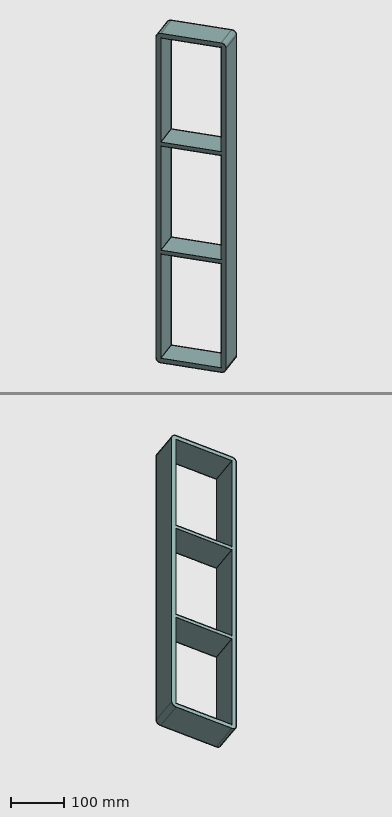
import cadquery as cq

width = 140.0
depth = 60.0
height = 694

wall = 10.0
shelf_thickness = 8.0
corner_radius = 10.0
bay_count = 3

bay_width = width - 2 * wall
bay_height = (height - 2 * wall - (bay_count - 1) * shelf_thickness) / bay_count
bay_pitch = bay_height + shelf_thickness

frame = cq.Workplane("XY").box(width, depth, height).edges("|Y").fillet(corner_radius)

bay_centers = [(0, (i - (bay_count - 1) / 2) * bay_pitch) for i in range(bay_count)]
bays = (
    cq.Workplane("XZ")
    .pushPoints(bay_centers)
    .rect(bay_width, bay_height)
    .extrude(depth, both=True)
)

result = frame.cut(bays)